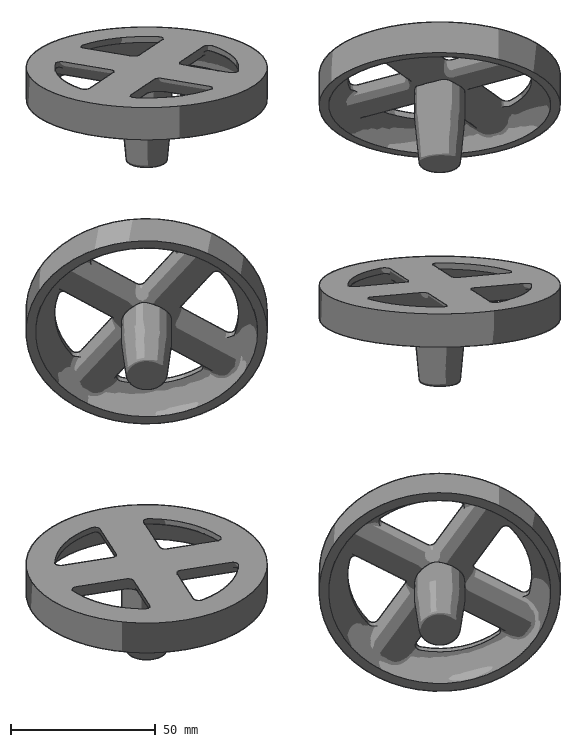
import cadquery as cq
import math

wheel_diameter = 83.4
wheel_height = 11.85
opening_diameter = 63.55
lip_inner_diameter = 76.7
rim_straight_depth = 2.2

spoke_width = 15.85
spoke_length = 79.2
spoke_thickness = 6.9
spoke_edge_fillet = 6.8
corner_radius = 2.0

total_height = 34.6
stem_diameter = 17.35
stem_tip_diameter = 14.2
collar_length = 5.5
tip_fillet = 1.2

tolerance = 0.1

stem_length = total_height - wheel_height
taper_length = stem_length - collar_length


def make_rim():
    """Ring whose inner wall drops straight, then curves outward to a narrow bottom lip."""
    inner_radius = opening_diameter / 2
    lip_radius = lip_inner_diameter / 2
    curve_width = lip_radius - inner_radius
    curve_height = wheel_height - rim_straight_depth
    curve_radius = (curve_width**2 + curve_height**2) / (2 * curve_width)
    return (
        cq.Workplane("XZ")
        .moveTo(inner_radius, 0)
        .lineTo(wheel_diameter / 2, 0)
        .lineTo(wheel_diameter / 2, -wheel_height)
        .lineTo(lip_radius, -wheel_height)
        .radiusArc((inner_radius, -rim_straight_depth), -curve_radius)
        .close()
        .revolve(360, (0, 0), (0, 1))
    )


def make_spokes():
    """Cross of four spokes with rounded inner corners and rounded underside edges."""
    lengthwise = cq.Workplane("XY").rect(spoke_length, spoke_width).extrude(-spoke_thickness)
    crosswise = cq.Workplane("XY").rect(spoke_width, spoke_length).extrude(-spoke_thickness)
    center_box = cq.selectors.BoxSelector(
        (-spoke_width, -spoke_width, -spoke_thickness),
        (spoke_width, spoke_width, 0),
    )
    cross = lengthwise.union(crosswise).edges("|Z").edges(center_box).fillet(corner_radius)
    end_distance = spoke_length / 2 - tolerance
    side_edges = []
    for edge in cross.faces("<Z").edges().vals():
        center = edge.Center()
        if max(abs(center.x), abs(center.y)) < end_distance:
            side_edges.append(edge)
    return cross.newObject([cross.val().fillet(spoke_edge_fillet, side_edges)])


def is_joint_edge(edge):
    """True for an edge on the curved inner wall of the rim, beside a spoke and below the top."""
    points = [edge.startPoint(), edge.positionAt(0.5), edge.endPoint()]
    radii = [math.hypot(point.x, point.y) for point in points]
    offsets = [min(abs(point.x), abs(point.y)) for point in points]
    on_inner_wall = (
        min(radii) > opening_diameter / 2 - tolerance
        and max(radii) < lip_inner_diameter / 2 - tolerance
    )
    beside_spoke = max(offsets) < spoke_width / 2 + tolerance
    return on_inner_wall and beside_spoke and points[1].z < -tolerance


def join_spokes(rim, spokes):
    """Fuse the spokes to the rim and blend the corners where they meet."""
    wheel = rim.union(spokes)
    joint_edges = [edge for edge in wheel.edges().vals() if is_joint_edge(edge)]
    return wheel.newObject([wheel.val().fillet(corner_radius, joint_edges)])


def make_stem():
    """Stem from the top face of the spokes down to a rounded tip."""
    collar_end = -wheel_height - collar_length
    collar = cq.Workplane("XY").circle(stem_diameter / 2).extrude(collar_end)
    taper = (
        cq.Workplane("XY", origin=(0, 0, collar_end))
        .circle(stem_diameter / 2)
        .workplane(offset=-taper_length)
        .circle(stem_tip_diameter / 2)
        .loft()
        .faces("<Z")
        .edges()
        .fillet(tip_fillet)
    )
    return collar.union(taper)


result = join_spokes(make_rim(), make_spokes()).union(make_stem())